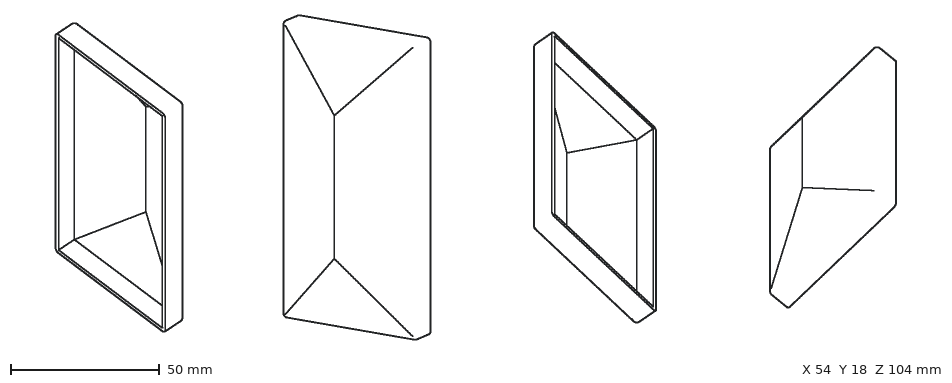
import cadquery as cq

width = 54.0
length = 104.0
depth = 18.0
wall = 1.6
edge_radius = 1.6

skirt_depth = 8.8
roof_rise = depth - skirt_depth
cavity_straight_depth = skirt_depth - wall

rim_y = -depth / 2
eaves_y = rim_y + skirt_depth
cavity_eaves_y = rim_y + cavity_straight_depth


def block(size_x, size_z, start_y, end_y):
    """Box centred on the Y axis between two Y positions."""
    size_y = end_y - start_y
    return cq.Workplane("XY").box(size_x, size_y, size_z).translate((0, (start_y + end_y) / 2, 0))


def hip_roof(size_x, size_z, base_y, rise):
    """Roof rising towards +Y with a ridge along Z and hips at 45 degrees in plan."""
    gable = (
        cq.Workplane("XY")
        .polyline([(-size_x / 2, base_y), (size_x / 2, base_y), (0, base_y + rise)])
        .close()
        .extrude(size_z / 2, both=True)
    )
    half_ridge = (size_z - size_x) / 2
    end_slopes = (
        cq.Workplane("YZ")
        .polyline([
            (base_y, -size_z / 2),
            (base_y, size_z / 2),
            (base_y + rise, half_ridge),
            (base_y + rise, -half_ridge),
        ])
        .close()
        .extrude(size_x / 2, both=True)
    )
    return gable.intersect(end_slopes)


skirt = (
    block(width, length, rim_y, eaves_y)
    .edges("|Y")
    .fillet(edge_radius)
    .faces(">Y")
    .edges()
    .fillet(edge_radius)
)

roof = hip_roof(width - 2 * edge_radius, length - 2 * edge_radius, eaves_y, roof_rise)

cavity_width = width - 2 * wall
cavity_length = length - 2 * wall
straight_cavity = block(cavity_width, cavity_length, rim_y, cavity_eaves_y)
roof_cavity = hip_roof(cavity_width, cavity_length, cavity_eaves_y, roof_rise)

result = skirt.union(roof).cut(straight_cavity.union(roof_cavity))